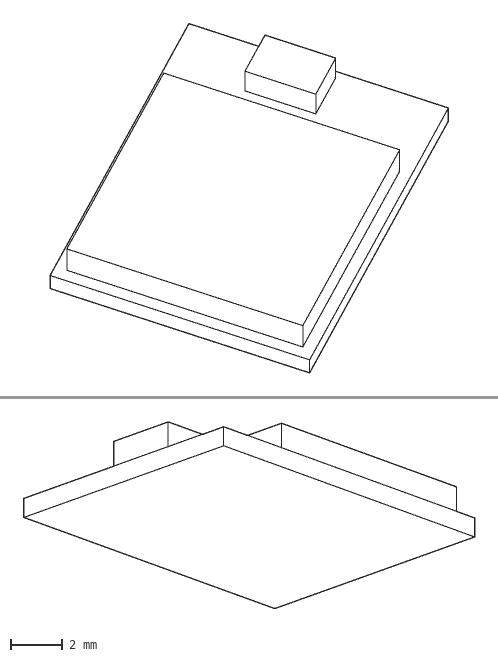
import cadquery as cq

board_width = 11.0
board_length = 13.9
board_thickness = 0.8

total_height = 2.1
can_margin = 0.5
can_width = board_width - 2 * can_margin
can_length = 9.7
can_height = total_height - board_thickness

chip_width = 3.0
chip_length = 2.0
chip_height = 1.2
chip_left_gap = 3.35
chip_back_gap = 0.3

board_left = -board_width / 2
board_front = -board_length / 2
board_back = board_length / 2


def block(left, front, bottom, width, length, height):
    """Box placed by its left, front, bottom corner."""
    return cq.Workplane("XY").box(width, length, height, centered=False).translate((left, front, bottom))


def make_board():
    return block(board_left, board_front, 0, board_width, board_length, board_thickness)


def make_can():
    left = board_left + can_margin
    front = board_front + can_margin
    return block(left, front, board_thickness, can_width, can_length, can_height)


def make_chip():
    left = board_left + chip_left_gap
    front = board_back - chip_back_gap - chip_length
    return block(left, front, board_thickness, chip_width, chip_length, chip_height)


result = make_board().union(make_can()).union(make_chip())